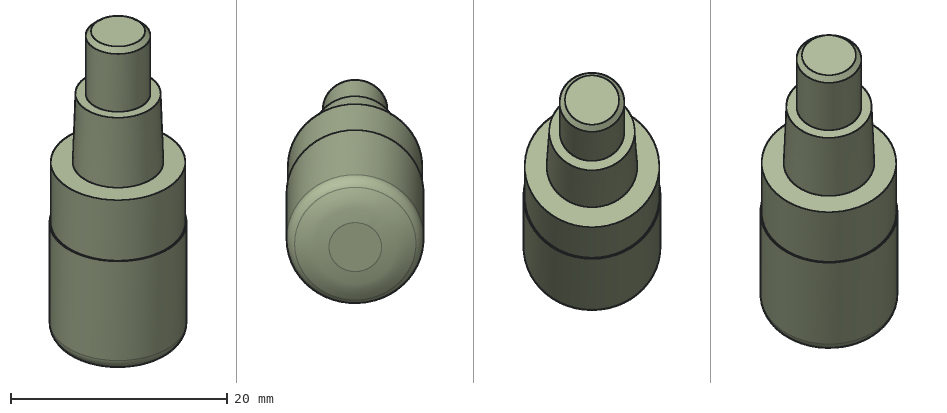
import cadquery as cq
import math

overall_height = 34.74
knob_height = 13.25
collar_height = 6.8
pin_height = 7.0
taper_height = overall_height - knob_height - collar_height - pin_height

knob_radius = 12.7 / 2
collar_radius = 12.45 / 2
taper_base_radius = 8.4 / 2
taper_top_radius = 7.9 / 2
pin_radius = 6.0 / 2
pin_chamfer = 0.5

corner_arc_radius = 1.48
corner_arc_angle = math.radians(60)
crown_arc_radius = 6.35
crown_arc_angle = math.pi / 2 - corner_arc_angle


def make_knob():
    """Solid knob with a two-arc rounded bottom."""
    crown_height = crown_arc_radius * (1 - math.cos(crown_arc_angle))
    corner_center_r = knob_radius - corner_arc_radius
    corner_center_z = crown_height + corner_arc_radius * math.sin(corner_arc_angle)
    join_r = corner_center_r + corner_arc_radius * math.cos(corner_arc_angle)
    flat_radius = join_r - crown_arc_radius * math.sin(crown_arc_angle)

    crown_mid = (
        flat_radius + crown_arc_radius * math.sin(crown_arc_angle / 2),
        crown_arc_radius * (1 - math.cos(crown_arc_angle / 2)),
    )
    corner_mid = (
        corner_center_r + corner_arc_radius * math.cos(corner_arc_angle / 2),
        corner_center_z - corner_arc_radius * math.sin(corner_arc_angle / 2),
    )
    return (
        cq.Workplane("XZ")
        .lineTo(flat_radius, 0)
        .threePointArc(crown_mid, (join_r, crown_height))
        .threePointArc(corner_mid, (knob_radius, corner_center_z))
        .lineTo(knob_radius, knob_height)
        .lineTo(0, knob_height)
        .close()
        .revolve(360, (0, 0, 0), (0, 1, 0))
    )


def make_stepped_pin():
    """Collar, tapered shank and chamfered pin, standing on the flat top of the knob."""
    collar_top = knob_height + collar_height
    taper_top = collar_top + taper_height
    return (
        cq.Workplane("XZ")
        .moveTo(0, knob_height)
        .lineTo(collar_radius, knob_height)
        .lineTo(collar_radius, collar_top)
        .lineTo(taper_base_radius, collar_top)
        .lineTo(taper_top_radius, taper_top)
        .lineTo(pin_radius, taper_top)
        .lineTo(pin_radius, overall_height - pin_chamfer)
        .lineTo(pin_radius - pin_chamfer, overall_height)
        .lineTo(0, overall_height)
        .close()
        .revolve(360, (0, 0, 0), (0, 1, 0))
    )


knob = make_knob()
stepped_pin = make_stepped_pin()
result = cq.Compound.makeCompound([knob.val(), stepped_pin.val()])